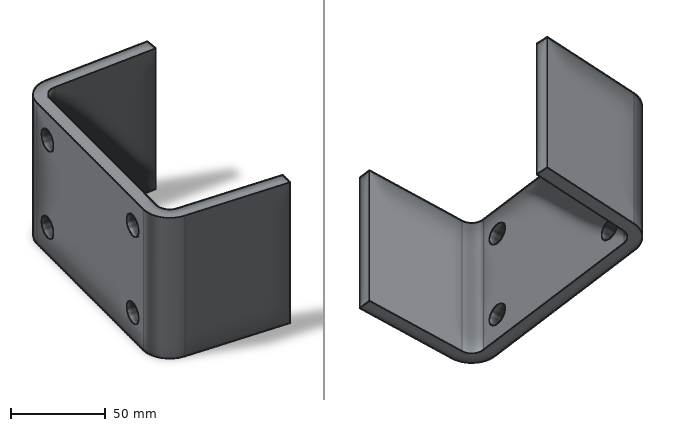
import cadquery as cq
import math

overall_width = 152.3
depth = 80.0
height = 90.0
outer_radius = 16.0
inner_radius = outer_radius / 2
thickness = outer_radius - inner_radius

lean = math.radians(5)
left_leg_length = 64.7

hole_diameter = 13.0
hole_spacing_x = 91.8
hole_spacing_z = 55.7

left_reach = outer_radius * math.cos(lean) + left_leg_length * math.sin(lean)
left_bend_x = left_reach
right_bend_x = overall_width - outer_radius
web_centre_x = (left_bend_x + right_bend_x) / 2


def left_leg_point(radius, along):
    """Point on the left leg, at a radius from the bend axis and a distance up the leg."""
    x = left_bend_x - radius * math.cos(lean) - along * math.sin(lean)
    y = outer_radius - radius * math.sin(lean) + along * math.cos(lean)
    return x, y


def left_bend_middle(radius):
    """Middle of the left bend's arc, which sweeps a right angle less the lean."""
    angle = (math.pi / 2 + lean) / 2
    x = left_bend_x - radius * math.cos(angle)
    y = outer_radius - radius * math.sin(angle)
    return x, y


def right_bend_middle(radius):
    offset = radius * math.sqrt(0.5)
    return right_bend_x + offset, outer_radius - offset


def bent_plate():
    return (
        cq.Workplane("XY")
        .moveTo(*left_leg_point(outer_radius, left_leg_length))
        .lineTo(*left_leg_point(outer_radius, 0))
        .threePointArc(left_bend_middle(outer_radius), (left_bend_x, 0))
        .lineTo(right_bend_x, 0)
        .threePointArc(right_bend_middle(outer_radius), (overall_width, outer_radius))
        .lineTo(overall_width, depth)
        .lineTo(overall_width - thickness, depth)
        .lineTo(overall_width - thickness, outer_radius)
        .threePointArc(right_bend_middle(inner_radius), (right_bend_x, thickness))
        .lineTo(left_bend_x, thickness)
        .threePointArc(left_bend_middle(inner_radius), left_leg_point(inner_radius, 0))
        .lineTo(*left_leg_point(inner_radius, left_leg_length))
        .close()
        .extrude(height)
    )


def web_holes():
    return (
        cq.Workplane("XZ", origin=(web_centre_x, 0, height / 2))
        .rarray(hole_spacing_x, hole_spacing_z, 2, 2)
        .circle(hole_diameter / 2)
        .extrude(-thickness)
    )


result = bent_plate().cut(web_holes())